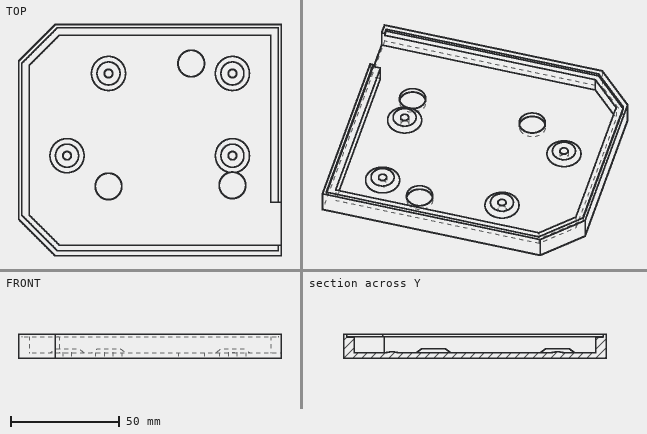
import cadquery as cq

length = 121.2
width = 107.0
height = 11.2
corner_cut = 16.9

floor_thickness = 2.5
ledge_height = 9.8

rim = 1.5
front_rim = 2.3
recess_corner_cut = 16.5

wall = 5.0
pocket_corner_cut = 13.8

opening_end = 24.7

standoff_base_radius = 7.9
standoff_top_radius = 5.3
standoff_height = 2.0
screw_hole_diameter = 3.8
right_column = 98.7
middle_column = 41.5
left_column = 22.3
back_row = 84.3
front_row = 46.3
standoff_centers = [
    (middle_column, back_row),
    (right_column, back_row),
    (left_column, front_row),
    (right_column, front_row),
]

floor_hole_diameter = 12.1
floor_hole_centers = [(79.7, 88.9), (middle_column, 32.1), (right_column, 32.6)]


def cut_corner_block(left, right, front, back, cut, bottom):
    """Block up to the tray top, with both left corners cut at 45 degrees."""
    return (
        cq.Workplane("XY", origin=(left, front, bottom))
        .box(right - left, back - front, height - bottom, centered=False)
        .edges("|Z and <X")
        .chamfer(cut)
    )


def standoff(center):
    """Truncated cone standing on the floor."""
    cone = cq.Solid.makeCone(standoff_base_radius, standoff_top_radius, standoff_height)
    return cone.translate(cq.Vector(*center, floor_thickness))


def through_holes(centers, diameter):
    """Vertical cylinders through the full height of the tray."""
    return cq.Workplane("XY").pushPoints(centers).circle(diameter / 2).extrude(height)


body = cut_corner_block(0, length, 0, width, corner_cut, 0)
recess = cut_corner_block(rim, length - rim, front_rim, width - rim, recess_corner_cut, ledge_height)
pocket = cut_corner_block(wall, length - wall, wall, width - wall, pocket_corner_cut, floor_thickness)
opening = cq.Workplane("XY", origin=(length - wall, wall, floor_thickness)).box(
    wall, opening_end - wall, height - floor_thickness, centered=False
)
tray = body.cut(recess).cut(pocket).cut(opening)

for standoff_center in standoff_centers:
    tray = tray.union(cq.Workplane(standoff(standoff_center)))

result = tray.cut(through_holes(standoff_centers, screw_hole_diameter)).cut(
    through_holes(floor_hole_centers, floor_hole_diameter)
)